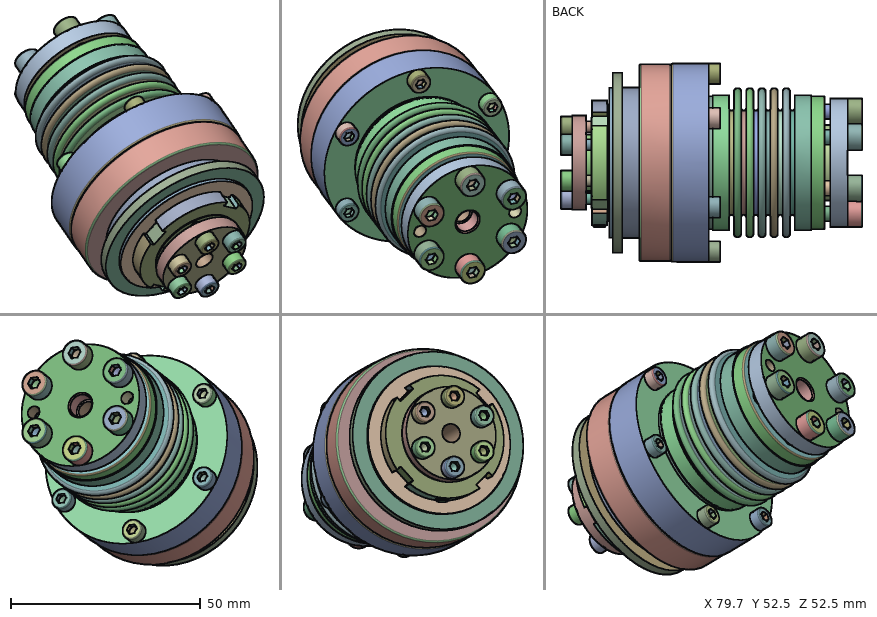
import cadquery as cq
import math


M4_HEAD_DIA = 7.0
M4_HEAD_HEIGHT = 3.9
M4_SHANK_DIA = 4.0
M4_HEX = 3.0
M4_HEX_DEPTH = 2.0
M3_HEAD_DIA = 5.5
M3_HEAD_HEIGHT = 3.0
M3_SHANK_DIA = 3.0
M3_HEX = 2.5
M3_HEX_DEPTH = 1.5
HEAD_EDGE_RADIUS = 0.3
SOCKET_TIP_ANGLE = 118.0
SCREW_COUNT = 6

INPUT_PLATE_DIA = 34.0
INPUT_PLATE_THICKNESS = 4.6
INPUT_SCREW_CIRCLE = 27.0
INPUT_GAP = 1.4
INPUT_NECK_DIA = 20.0
PIN_HOLE_DIA = 3.4

BORE_DIA = 5.0
ENTRY_DIA = 6.2
ENTRY_CHAMFER = 0.4

HUB_DIA = 35.8
HUB_LENGTH = 4.35
COLLAR_DIA = 35.2
INPUT_COLLAR_LENGTH = 3.6
OUTPUT_COLLAR_LENGTH = 1.0
COLLAR_EDGE_RADIUS = 0.4
FOLD_COUNT = 5
FOLD_DIA = 39.5
FOLD_WIDTH = 2.0
FOLD_PITCH = 3.22
ROOT_DIA = 27.6

FLANGE_DIA = 52.5
FLANGE_THICKNESS = 10.0
FLANGE_SCREW_CIRCLE = 47.0
RING_DIA = 52.1
RING_THICKNESS = 8.4
RIM_RADIUS = 0.45

SEAT_DIA = 39.9
SEAT_LENGTH = 4.5
DISC_DIA = 47.7
DISC_THICKNESS = 2.55
SHOULDER_DIA = 39.7
SHOULDER_LENGTH = 0.95

SPACER_DIA = 28.6
SPACER_LENGTH = 0.3
NUT_FACE_DIA = 31.0
NUT_FACE_LENGTH = 0.25
NUT_DIA = 33.0
NUT_THICKNESS = 4.0
NUT_SLOT_COUNT = 4
NUT_SLOT_WIDTH = 5.0
NUT_SLOT_FLOOR = 14.95
SET_SCREW_DIA = 3.4
SET_SCREW_REACH = 17.0
SET_SCREW_CHAMFER = 0.3

SHAFT_END_DIA = 23.8
SHAFT_END_LENGTH = 0.2
OUTPUT_NECK_DIA = 15.0
OUTPUT_PLATE_DIA = 25.0
OUTPUT_PLATE_THICKNESS = 3.7
OUTPUT_SCREW_CIRCLE = 19.0
TOTAL_LENGTH = 79.7

input_plate_start = M4_HEAD_HEIGHT
input_plate_end = input_plate_start + INPUT_PLATE_THICKNESS
collar_start = input_plate_end + INPUT_GAP
input_hub_start = collar_start + INPUT_COLLAR_LENGTH
bellows_start = input_hub_start + HUB_LENGTH
fold_space = FOLD_PITCH - FOLD_WIDTH
bellows_length = FOLD_COUNT * FOLD_PITCH + fold_space
bellows_end = bellows_start + bellows_length
output_hub_end = bellows_end + HUB_LENGTH
flange_start = output_hub_end + OUTPUT_COLLAR_LENGTH
flange_end = flange_start + FLANGE_THICKNESS
ring_end = flange_end + RING_THICKNESS
disc_start = ring_end + SEAT_LENGTH
disc_end = disc_start + DISC_THICKNESS
shoulder_end = disc_end + SHOULDER_LENGTH
nut_face_start = shoulder_end + SPACER_LENGTH
nut_start = nut_face_start + NUT_FACE_LENGTH
nut_end = nut_start + NUT_THICKNESS
shaft_end = nut_end + SHAFT_END_LENGTH
output_plate_end = TOTAL_LENGTH - M3_HEAD_HEIGHT
output_plate_start = output_plate_end - OUTPUT_PLATE_THICKNESS


def round_section(start, end, diameter):
    """Cylinder on the X axis between two stations."""
    return cq.Workplane("YZ", origin=(start, 0, 0)).circle(diameter / 2).extrude(end - start)


def socket_screw(head_dia, head_height, hex_width, hex_depth, shank_dia, shank_length):
    """Screw on the X axis, seated at X = 0, with its head toward -X and its shank toward +X."""
    head = round_section(-head_height, 0, head_dia).faces("<X").edges().fillet(HEAD_EDGE_RADIUS)
    hex_corner_dia = hex_width / math.cos(math.pi / 6)
    socket = (
        cq.Workplane("YZ", origin=(-head_height, 0, 0))
        .polygon(6, hex_corner_dia)
        .extrude(hex_depth)
    )
    tip_depth = hex_width / 2 / math.tan(math.radians(SOCKET_TIP_ANGLE / 2))
    tip = cq.Workplane(
        cq.Solid.makeCone(
            hex_width / 2, 0, tip_depth, cq.Vector(hex_depth - head_height, 0, 0), cq.Vector(1, 0, 0)
        )
    )
    screw = head.cut(socket).cut(tip)
    if shank_length > 0:
        screw = screw.union(round_section(0, shank_length, shank_dia))
    return screw


def m4_screw(shank_length):
    return socket_screw(M4_HEAD_DIA, M4_HEAD_HEIGHT, M4_HEX, M4_HEX_DEPTH, M4_SHANK_DIA, shank_length)


def m3_screw(shank_length):
    return socket_screw(M3_HEAD_DIA, M3_HEAD_HEIGHT, M3_HEX, M3_HEX_DEPTH, M3_SHANK_DIA, shank_length)


def add_screw_circle(body, screw, seat, circle_dia):
    """Join equally spaced copies of a screw, the first one at +Z."""
    for index in range(SCREW_COUNT):
        angle = index * 360 / SCREW_COUNT
        placed = screw.translate((seat, 0, circle_dia / 2)).rotate((0, 0, 0), (1, 0, 0), angle)
        body = body.union(placed)
    return body


def make_bellows():
    """Folds with full-round crests, joined by full-round roots."""
    crest_radius = FOLD_WIDTH / 2
    root_radius = fold_space / 2
    crest_side = FOLD_DIA / 2 - crest_radius
    root_side = ROOT_DIA / 2 + root_radius
    x = bellows_start
    profile = cq.Workplane("XY").moveTo(x, 0).lineTo(x, root_side)
    for _ in range(FOLD_COUNT):
        profile = profile.threePointArc((x + root_radius, ROOT_DIA / 2), (x + fold_space, root_side))
        x += fold_space
        profile = profile.lineTo(x, crest_side)
        profile = profile.threePointArc((x + crest_radius, FOLD_DIA / 2), (x + FOLD_WIDTH, crest_side))
        x += FOLD_WIDTH
        profile = profile.lineTo(x, root_side)
    profile = profile.threePointArc((x + root_radius, ROOT_DIA / 2), (bellows_end, root_side))
    return profile.lineTo(bellows_end, 0).close().revolve(360, (0, 0, 0), (1, 0, 0))


def make_input_end():
    """Clamp plate, neck, and the collar and hub that carry the bellows."""
    collar = round_section(collar_start, input_hub_start, COLLAR_DIA)
    collar = collar.faces("<X").edges().fillet(COLLAR_EDGE_RADIUS)
    plate = round_section(input_plate_start, input_plate_end, INPUT_PLATE_DIA)
    plate = plate.union(round_section(input_plate_end, collar_start, INPUT_NECK_DIA))
    return plate.union(collar).union(round_section(input_hub_start, bellows_start, HUB_DIA))


def make_main_flange():
    """Output hub of the bellows, main flange and ring with rounded rims."""
    hub = round_section(bellows_end, output_hub_end, HUB_DIA)
    collar = round_section(output_hub_end, flange_start, COLLAR_DIA)
    flange = round_section(flange_start, flange_end, FLANGE_DIA).faces(">X").edges().fillet(RIM_RADIUS)
    ring = round_section(flange_end, ring_end, RING_DIA).edges("%CIRCLE").fillet(RIM_RADIUS)
    return hub.union(collar).union(flange).union(ring)


def make_lock_nut():
    """Nut with diagonal rim slots and a radial set screw at -Z."""
    nut = round_section(nut_start, nut_end, NUT_DIA)
    nut = nut.union(round_section(nut_face_start, nut_start, NUT_FACE_DIA))
    slot_depth = NUT_DIA / 2 - NUT_SLOT_FLOOR
    slot = cq.Workplane("XY").box(
        nut_end - nut_face_start, NUT_SLOT_WIDTH, 2 * slot_depth, centered=(False, True, False)
    )
    slot = slot.translate((nut_face_start, 0, NUT_SLOT_FLOOR))
    slot_step = 360 / NUT_SLOT_COUNT
    for index in range(NUT_SLOT_COUNT):
        nut = nut.cut(slot.rotate((0, 0, 0), (1, 0, 0), (index + 0.5) * slot_step))
    set_screw = (
        cq.Workplane("XY", origin=((nut_start + nut_end) / 2, 0, -SET_SCREW_REACH))
        .circle(SET_SCREW_DIA / 2)
        .extrude(SET_SCREW_REACH - SHAFT_END_DIA / 2)
        .faces("<Z")
        .edges()
        .chamfer(SET_SCREW_CHAMFER)
    )
    return nut.union(set_screw)


def make_output_end():
    """Bearing seat, thin disc, shoulder, shaft end and output clamp plate."""
    end = round_section(ring_end, disc_start, SEAT_DIA)
    end = end.union(round_section(disc_start, disc_end, DISC_DIA))
    end = end.union(round_section(disc_end, shoulder_end, SHOULDER_DIA))
    end = end.union(round_section(shoulder_end, nut_face_start, SPACER_DIA))
    end = end.union(make_lock_nut())
    end = end.union(round_section(nut_end, shaft_end, SHAFT_END_DIA))
    end = end.union(round_section(shaft_end, output_plate_start, OUTPUT_NECK_DIA))
    return end.union(round_section(output_plate_start, output_plate_end, OUTPUT_PLATE_DIA))


def cut_bore(body):
    """Through bore with a wider, chamfered entry in the input clamp plate."""
    body = body.cut(round_section(0, TOTAL_LENGTH, BORE_DIA))
    entry = round_section(input_plate_start, input_plate_end, ENTRY_DIA)
    chamfer = cq.Workplane(
        cq.Solid.makeCone(
            ENTRY_DIA / 2 + ENTRY_CHAMFER,
            ENTRY_DIA / 2,
            ENTRY_CHAMFER,
            cq.Vector(input_plate_start, 0, 0),
            cq.Vector(1, 0, 0),
        )
    )
    return body.cut(entry).cut(chamfer)


def cut_pin_holes(body):
    """Two holes through the input clamp plate, on its screw circle."""
    for side in (-1, 1):
        hole = round_section(input_plate_start, input_plate_end, PIN_HOLE_DIA)
        body = body.cut(hole.translate((0, side * INPUT_SCREW_CIRCLE / 2, 0)))
    return body


coupling = make_input_end().union(make_bellows()).union(make_main_flange()).union(make_output_end())
coupling = cut_bore(coupling)
coupling = cut_pin_holes(coupling)

input_screw = m4_screw(collar_start - input_plate_start)
coupling = add_screw_circle(coupling, input_screw, input_plate_start, INPUT_SCREW_CIRCLE)
coupling = add_screw_circle(coupling, m3_screw(0), flange_start, FLANGE_SCREW_CIRCLE)

output_screw = m3_screw(output_plate_end - shaft_end).rotate((0, 0, 0), (0, 0, 1), 180)
coupling = add_screw_circle(coupling, output_screw, output_plate_end, OUTPUT_SCREW_CIRCLE)

result = coupling